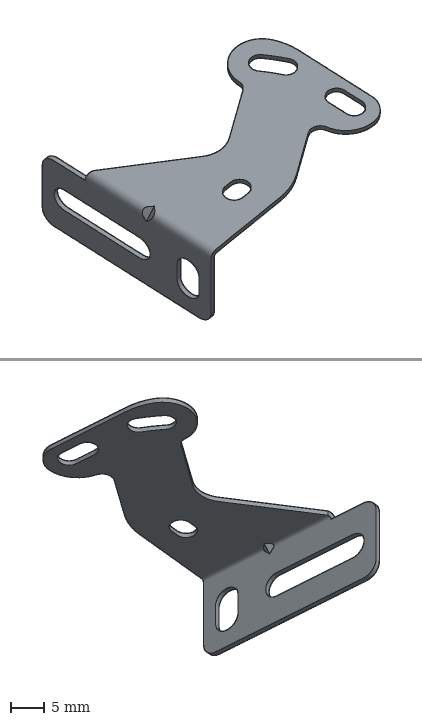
import cadquery as cq
import math

WIDTH = 34.0
DEPTH = 41.0
HEIGHT = 15.5

THICK = 0.8
BEND_OUTER = 1.35
BEND_INNER = BEND_OUTER - THICK
BEND_LEFT_FRONT = 8.6
BEND_LEFT_BACK = 9.05

FLANGE_CORNER = 2.45
FLANGE_SLOT_WIDTH = 4.4
FLANGE_SLOT_Z = -8.5
LONG_SLOT_X = 12.05
LONG_SLOT_LENGTH = 19.35
SHORT_SLOT_X = 29.4
SHORT_SLOT_LENGTH = 7.85

LEFT_LOBE_X = 13.2
LEFT_LOBE_Y = 35.25
LEFT_LOBE_RADIUS = 5.25
SHOULDER_RADIUS = 10.65
RIGHT_CORNER_RADIUS = 3.77
RIGHT_LOBE_RADIUS = 5.7
LEFT_LOBE_OVERLAP = 45
RIGHT_LOBE_OVERLAP = 30
LEFT_NECK_FILLET = 1.65
RIGHT_NECK_FILLET = 1.9

NECK_LEAN = math.radians(30)
NECK_TOP_Y = 33.6
RIGHT_ELBOW_Y = 18.7
RIGHT_ELBOW_RADIUS = 10.65
LEFT_ELBOW_X = 21.55
LEFT_ELBOW_Y = 17.25
LEFT_ELBOW_RADIUS = 4.9

PLATE_SLOT_WIDTH = 3.5
PIVOT_X = 28.0
PIVOT_Y = 12.7
PIVOT_SLOT_LENGTH = 4.7
BACK_SLOT_Y = 37.47
BACK_SLOT_LENGTH = 7.0
ARC_SLOT_RADIUS = 27.05
ARC_SLOT_START = 115.5
ARC_SLOT_END = 124.0

DIMPLE_X = 21.0
DIMPLE_OUTER_REACH = 1.85
DIMPLE_INNER_REACH = 2.9


def polar(center, radius, degrees):
    """Point on a circle at an angle measured from +X."""
    angle = math.radians(degrees)
    return (center[0] + radius * math.cos(angle), center[1] + radius * math.sin(angle))


def plate_layer():
    return cq.Workplane("XY").workplane(offset=-THICK)


def make_head():
    left = (LEFT_LOBE_X, LEFT_LOBE_Y)
    shoulder_y = DEPTH - SHOULDER_RADIUS
    center_gap = SHOULDER_RADIUS - LEFT_LOBE_RADIUS
    shoulder_x = LEFT_LOBE_X + math.sqrt(center_gap**2 - (LEFT_LOBE_Y - shoulder_y) ** 2)
    shoulder = (shoulder_x, shoulder_y)
    join = math.degrees(math.atan2(LEFT_LOBE_Y - shoulder_y, LEFT_LOBE_X - shoulder_x))
    corner = (WIDTH - RIGHT_CORNER_RADIUS, DEPTH - RIGHT_CORNER_RADIUS)
    right = (WIDTH - RIGHT_LOBE_RADIUS, corner[1])
    right_end = -90 - RIGHT_LOBE_OVERLAP
    left_end = 270 + LEFT_LOBE_OVERLAP
    return (
        plate_layer()
        .moveTo(*polar(shoulder, SHOULDER_RADIUS, 90))
        .lineTo(*polar(corner, RIGHT_CORNER_RADIUS, 90))
        .threePointArc(polar(corner, RIGHT_CORNER_RADIUS, 45), polar(corner, RIGHT_CORNER_RADIUS, 0))
        .threePointArc(
            polar(right, RIGHT_LOBE_RADIUS, right_end / 2), polar(right, RIGHT_LOBE_RADIUS, right_end)
        )
        .lineTo(*polar(left, LEFT_LOBE_RADIUS, left_end))
        .threePointArc(
            polar(left, LEFT_LOBE_RADIUS, (left_end + join) / 2), polar(left, LEFT_LOBE_RADIUS, join)
        )
        .threePointArc(
            polar(shoulder, SHOULDER_RADIUS, (join + 90) / 2), polar(shoulder, SHOULDER_RADIUS, 90)
        )
        .close()
        .extrude(THICK)
    )


def fillet_upright_edge(body, x, y, radius):
    """Round the upright plate edge nearest to (x, y)."""
    nearest = cq.selectors.NearestToPointSelector((x, y, -THICK / 2))
    return body.edges("|Z").edges(nearest).fillet(radius)


def make_plate():
    lean = math.tan(NECK_LEAN)
    neck = (
        plate_layer()
        .moveTo(BEND_LEFT_BACK, BEND_OUTER)
        .lineTo(WIDTH, BEND_OUTER)
        .lineTo(WIDTH, RIGHT_ELBOW_Y)
        .lineTo(WIDTH - lean * (NECK_TOP_Y - RIGHT_ELBOW_Y), NECK_TOP_Y)
        .lineTo(LEFT_ELBOW_X - lean * (NECK_TOP_Y - LEFT_ELBOW_Y), NECK_TOP_Y)
        .lineTo(LEFT_ELBOW_X, LEFT_ELBOW_Y)
        .close()
        .extrude(THICK)
    )
    neck = fillet_upright_edge(neck, WIDTH, RIGHT_ELBOW_Y, RIGHT_ELBOW_RADIUS)
    neck = fillet_upright_edge(neck, LEFT_ELBOW_X, LEFT_ELBOW_Y, LEFT_ELBOW_RADIUS)
    plate = neck.union(make_head())

    left_y = LEFT_LOBE_Y - LEFT_LOBE_RADIUS
    left_x = LEFT_ELBOW_X - lean * (left_y - LEFT_ELBOW_Y)
    right_y = DEPTH - RIGHT_CORNER_RADIUS - RIGHT_LOBE_RADIUS
    right_x = WIDTH - lean * (right_y - RIGHT_ELBOW_Y)
    plate = fillet_upright_edge(plate, left_x, left_y, LEFT_NECK_FILLET)
    return fillet_upright_edge(plate, right_x, right_y, RIGHT_NECK_FILLET)


def make_plate_slots():
    pivot_slot = (
        plate_layer().center(PIVOT_X, PIVOT_Y).slot2D(PIVOT_SLOT_LENGTH, PLATE_SLOT_WIDTH, 90).extrude(THICK)
    )
    back_slot = (
        plate_layer().center(PIVOT_X, BACK_SLOT_Y).slot2D(BACK_SLOT_LENGTH, PLATE_SLOT_WIDTH).extrude(THICK)
    )
    pivot = (PIVOT_X, PIVOT_Y)
    half_width = PLATE_SLOT_WIDTH / 2
    inner = ARC_SLOT_RADIUS - half_width
    outer = ARC_SLOT_RADIUS + half_width
    middle = (ARC_SLOT_START + ARC_SLOT_END) / 2
    start_center = polar(pivot, ARC_SLOT_RADIUS, ARC_SLOT_START)
    end_center = polar(pivot, ARC_SLOT_RADIUS, ARC_SLOT_END)
    arc_slot = (
        plate_layer()
        .moveTo(*polar(pivot, outer, ARC_SLOT_START))
        .threePointArc(polar(pivot, outer, middle), polar(pivot, outer, ARC_SLOT_END))
        .threePointArc(polar(end_center, half_width, ARC_SLOT_END + 90), polar(pivot, inner, ARC_SLOT_END))
        .threePointArc(polar(pivot, inner, middle), polar(pivot, inner, ARC_SLOT_START))
        .threePointArc(
            polar(start_center, half_width, ARC_SLOT_START - 90), polar(pivot, outer, ARC_SLOT_START)
        )
        .close()
        .extrude(THICK)
    )
    return pivot_slot.union(back_slot).union(arc_slot)


def make_bend():
    center = (BEND_OUTER, -BEND_OUTER)
    bend = (
        cq.Workplane("YZ")
        .moveTo(0, -BEND_OUTER)
        .threePointArc(polar(center, BEND_OUTER, 135), (BEND_OUTER, 0))
        .lineTo(BEND_OUTER, -THICK)
        .threePointArc(polar(center, BEND_INNER, 135), (THICK, -BEND_OUTER))
        .close()
        .extrude(WIDTH)
    )
    footprint = (
        cq.Workplane("XY")
        .polyline([(BEND_LEFT_FRONT, 0), (WIDTH, 0), (WIDTH, BEND_OUTER), (BEND_LEFT_BACK, BEND_OUTER)])
        .close()
        .extrude(-BEND_OUTER)
    )
    return bend.intersect(footprint)


def make_flange():
    flange = cq.Workplane("XY").box(WIDTH, THICK, HEIGHT - BEND_OUTER, centered=False)
    flange = flange.translate((0, 0, -HEIGHT))
    flange = flange.edges("|Y").edges("<X or <Z").fillet(FLANGE_CORNER)
    for x, length, angle in ((LONG_SLOT_X, LONG_SLOT_LENGTH, 0), (SHORT_SLOT_X, SHORT_SLOT_LENGTH, 90)):
        slot = (
            cq.Workplane("XZ").center(x, FLANGE_SLOT_Z).slot2D(length, FLANGE_SLOT_WIDTH, angle).extrude(-THICK)
        )
        flange = flange.cut(slot)
    return flange


def dimple_wedge(reach):
    """Right-angled V across the bend, with its ridge at 45 degrees to both sheets."""
    across_bend = cq.Plane(origin=(DIMPLE_X, 0, 0), xDir=(1, 0, 0), normal=(0, 1, 1))
    return (
        cq.Workplane(across_bend)
        .polyline([(-reach, 0), (reach, 0), (0, reach / math.sqrt(2))])
        .close()
        .extrude(reach, both=True)
    )


def add_dimple(body):
    size = 2 * DIMPLE_INNER_REACH
    corner_block = (
        cq.Workplane("XY")
        .box(size, size, size, centered=(True, False, False))
        .translate((DIMPLE_X, 0, -size))
        .faces("<Y").edges(">Z")
        .fillet(BEND_OUTER)
    )
    bump = dimple_wedge(DIMPLE_INNER_REACH).intersect(corner_block)
    return body.union(bump).cut(dimple_wedge(DIMPLE_OUTER_REACH))


plate = make_plate().cut(make_plate_slots())
bracket = plate.union(make_bend()).union(make_flange())
result = add_dimple(bracket)